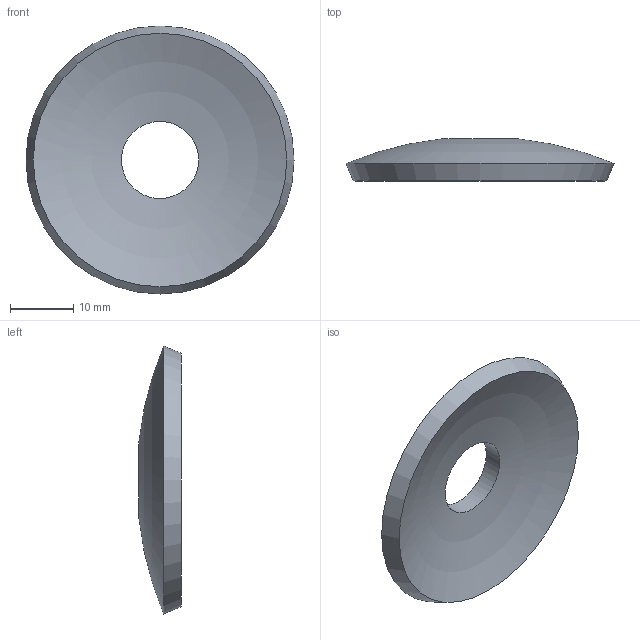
import cadquery as cq
import math

OUTER_DIAMETER = 42.4
HOLE_DIAMETER = 12.2
THICKNESS = 3.0
DOME_RADIUS = 55.25

rim_radius = OUTER_DIAMETER / 2
hollow_radius = DOME_RADIUS - THICKNESS
rim_angle = math.asin(rim_radius / DOME_RADIUS)
hollow_edge_distance = hollow_radius * math.cos(rim_angle)


def point_on_arc(radius, angle):
    """Profile point at an angle from the Y axis, with the hollow's edge at Y = 0."""
    return (radius * math.sin(angle), radius * math.cos(angle) - hollow_edge_distance)


def domed_disc():
    """Spherical shell cap whose conical rim points at the sphere centre."""
    profile = (
        cq.Workplane("XY")
        .moveTo(*point_on_arc(hollow_radius, 0))
        .lineTo(*point_on_arc(DOME_RADIUS, 0))
        .threePointArc(point_on_arc(DOME_RADIUS, rim_angle / 2), point_on_arc(DOME_RADIUS, rim_angle))
        .lineTo(*point_on_arc(hollow_radius, rim_angle))
        .threePointArc(point_on_arc(hollow_radius, rim_angle / 2), point_on_arc(hollow_radius, 0))
        .close()
    )
    return profile.revolve(360, (0, 0), (0, 1))


def centre_hole():
    """Straight cylinder along Y, long enough to pass through the disc."""
    return cq.Workplane("XZ").circle(HOLE_DIAMETER / 2).extrude(DOME_RADIUS, both=True)


result = domed_disc().cut(centre_hole())